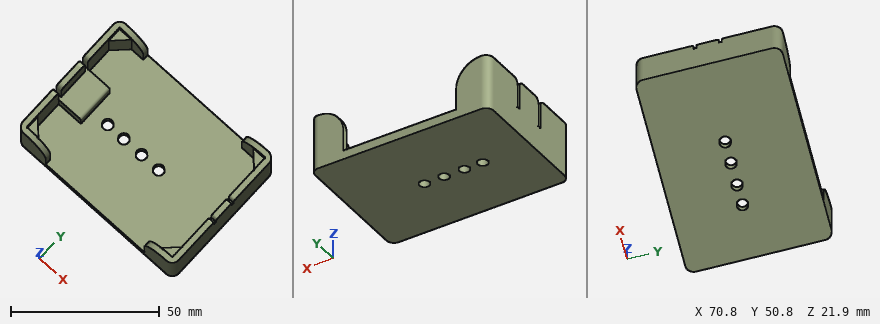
import cadquery as cq

length = 70.8
width = 50.8
height = 21.9
wall = 2.3
floor_thickness = 3.6
corner_radius = 3.0

tab_radius = 10.05
opening_length = length - 2 * (corner_radius + tab_radius)

gusset_leg = 5.45
gusset_top = 19.25

left_slot_offset = 6.6
left_slot_width = 1.3
left_slot_bottom = 10.55
left_mouth_radius = 2.0
right_slot_offset = 4.4
right_slot_width = 1.0
right_slot_bottom = 18.9
right_mouth_radius = 1.0

block_width = 2 * left_slot_offset + left_slot_width
block_reach = 12.4
block_edge_radius = 1.0

hole_diameter = 4.0
hole_row_y = -1.3
hole_positions_x = (-16.2, -8.9, -0.85, 6.95)

inner_x = length / 2 - wall
inner_y = width / 2 - wall


def make_tray():
    outer = cq.Workplane("XY").box(length, width, height, centered=(True, True, False))
    outer = outer.edges("|Z").fillet(corner_radius)
    cavity = (
        cq.Workplane("XY")
        .workplane(offset=floor_thickness)
        .rect(2 * inner_x, 2 * inner_y)
        .extrude(height)
    )
    return outer.cut(cavity)


def make_side_opening():
    """Opening across both long sides, flaring out in convex quarter arcs at the top."""
    half = opening_length / 2
    arc_start_z = height - tab_radius
    tab_top_x = half + tab_radius
    diagonal = tab_radius * 0.5 ** 0.5
    return (
        cq.Workplane("XZ")
        .moveTo(-half, floor_thickness)
        .lineTo(half, floor_thickness)
        .lineTo(half, arc_start_z)
        .threePointArc((tab_top_x - diagonal, arc_start_z + diagonal), (tab_top_x, height))
        .lineTo(-tab_top_x, height)
        .threePointArc((diagonal - tab_top_x, arc_start_z + diagonal), (-half, arc_start_z))
        .close()
        .extrude(width, both=True)
    )


def make_gusset(x_side, y_side):
    corner_x = x_side * inner_x
    corner_y = y_side * inner_y
    return (
        cq.Workplane("XY")
        .polyline([
            (corner_x, corner_y),
            (corner_x - x_side * gusset_leg, corner_y),
            (corner_x, corner_y - y_side * gusset_leg),
        ])
        .close()
        .extrude(gusset_top)
    )


def make_block():
    """Block starting inside the left wall, with its upper free edge rounded."""
    block_length = block_reach - wall / 2
    block = (
        cq.Workplane("XY")
        .box(block_length, block_width, left_slot_bottom, centered=(False, True, False))
        .translate((wall / 2 - length / 2, 0, 0))
    )
    return block.edges(">X and >Z").fillet(block_edge_radius)


def make_slot(start_x, y, slot_width, bottom, mouth_radius):
    """Slot one wall thick in X whose top edges are rounded over by the mouth radius."""
    half = slot_width / 2
    mouth_half = half + mouth_radius
    arc_start_z = height - mouth_radius
    diagonal = mouth_radius * 0.5 ** 0.5
    return (
        cq.Workplane("YZ")
        .moveTo(-half, bottom)
        .lineTo(half, bottom)
        .lineTo(half, arc_start_z)
        .threePointArc((mouth_half - diagonal, arc_start_z + diagonal), (mouth_half, height))
        .lineTo(-mouth_half, height)
        .threePointArc((diagonal - mouth_half, arc_start_z + diagonal), (-half, arc_start_z))
        .close()
        .extrude(wall)
        .translate((start_x, y, 0))
    )


result = make_tray().cut(make_side_opening())

for x_side in (-1, 1):
    for y_side in (-1, 1):
        result = result.union(make_gusset(x_side, y_side))

result = result.union(make_block())

for y_side in (-1, 1):
    left_slot = make_slot(
        -length / 2, y_side * left_slot_offset, left_slot_width, left_slot_bottom, left_mouth_radius
    )
    right_slot = make_slot(
        inner_x, y_side * right_slot_offset, right_slot_width, right_slot_bottom, right_mouth_radius
    )
    result = result.cut(left_slot).cut(right_slot)

hole_cutters = (
    cq.Workplane("XY")
    .pushPoints([(x, hole_row_y) for x in hole_positions_x])
    .circle(hole_diameter / 2)
    .extrude(floor_thickness)
)
result = result.cut(hole_cutters)